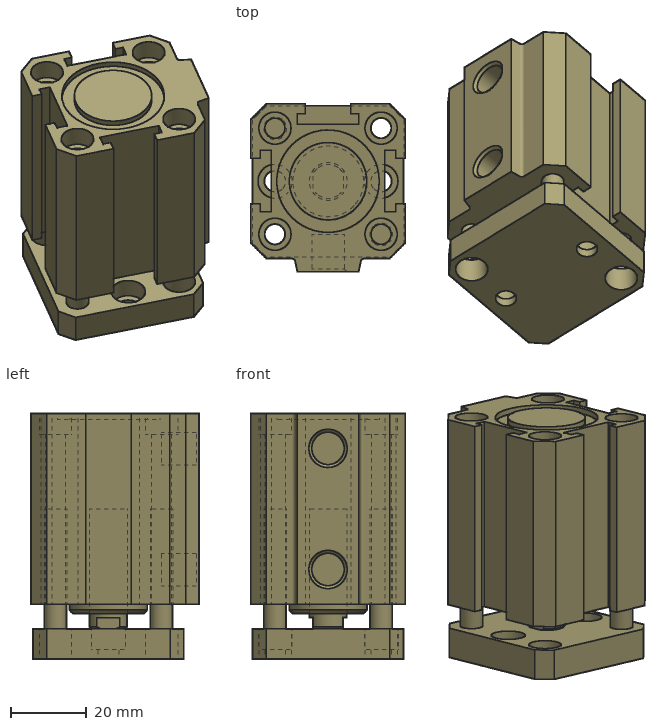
import cadquery as cq
import math

plate_thickness = 8.0
total_height = 65
gap = 6.5
housing_base = plate_thickness + gap
housing_height = total_height - housing_base

housing_width = 41.0
housing_corner = 4.2
ridge_height = 3.5
ridge_face_width = 16.25
ridge_slope = 12
ridge_root_radius = 0.85

slot_mouth_width = 12.0
slot_inner_width = 16.25
slot_lip = 2.6
slot_depth = 5.45

groove_outer_diameter = 27.1
groove_inner_diameter = 20.5
groove_depth = 1.5

collar_diameter = 20.7
collar_height = 2.5
collar_chamfer = 1.0

port_diameter = 8.6
port_mouth_diameter = 10.15
port_depth = 10.0
port_end_distance = 9.2

hole_offset = 14.05
mount_hole_diameter = 5.3
mount_head_diameter = 8.5
mount_head_depth = 5.5

rod_diameter = 10.0
rod_flat_width = 8.0
rod_flat_height = 3.0
rod_end_chamfer = 0.5
pin_diameter = 6.0
insertion = housing_height / 2

plate_width = 40.0
plate_corner = 3.65
access_hole_diameter = 8.5
screw_hole_diameter = 5.5
screw_head_diameter = 9.0
screw_head_depth = 5.3

mount_points = [(x, y) for x in (-hole_offset, hole_offset) for y in (-hole_offset, hole_offset)]
pin_points = [(-hole_offset, hole_offset), (hole_offset, -hole_offset)]
access_points = [(-hole_offset, -hole_offset), (hole_offset, hole_offset)]
screw_points = [(-hole_offset, 0), (hole_offset, 0)]


def cylinders(points, diameter, bottom, height):
    """Upright cylinders at the given XY points."""
    return cq.Workplane("XY", origin=(0, 0, bottom)).pushPoints(points).circle(diameter / 2).extrude(height)


def chamfered_block(width, corner, bottom, height):
    """Square block with its four upright edges cut off."""
    block = cq.Workplane("XY", origin=(0, 0, bottom)).rect(width, width).extrude(height)
    return block.edges("|Z").chamfer(corner)


def port_ridge():
    """Sloped ridge on the front face, with rounded concave roots."""
    front = -housing_width / 2
    face = front - ridge_height
    half_face = ridge_face_width / 2
    slope = math.radians(ridge_slope)
    half_root = half_face + ridge_height * math.tan(slope)
    tangent = ridge_root_radius * math.tan((math.pi / 2 - slope) / 2)
    fillet_x = half_root + tangent
    slope_x = half_root - tangent * math.sin(slope)
    slope_y = front - tangent * math.cos(slope)
    return (
        cq.Workplane("XY", origin=(0, 0, housing_base))
        .moveTo(-half_face, face)
        .lineTo(half_face, face)
        .lineTo(slope_x, slope_y)
        .radiusArc((fillet_x, front), ridge_root_radius)
        .lineTo(-fillet_x, front)
        .radiusArc((-slope_x, slope_y), ridge_root_radius)
        .close()
        .extrude(housing_height)
    )


def t_slot(angle):
    """T-slot cutter for the back face, turned about Z to the wanted face."""
    back = housing_width / 2
    plane = cq.Workplane("XY", origin=(0, 0, housing_base))
    mouth = plane.center(0, back - slot_depth / 2).rect(slot_mouth_width, slot_depth)
    mouth = mouth.extrude(housing_height)
    inner_depth = slot_depth - slot_lip
    inner = plane.center(0, back - slot_lip - inner_depth / 2).rect(slot_inner_width, inner_depth)
    inner = inner.extrude(housing_height)
    return mouth.union(inner).rotate((0, 0, 0), (0, 0, 1), angle)


def top_groove():
    return (
        cq.Workplane("XY", origin=(0, 0, total_height))
        .circle(groove_outer_diameter / 2)
        .circle(groove_inner_diameter / 2)
        .extrude(-groove_depth)
    )


def port(height):
    """Blind port cutter with a 45 degree countersunk mouth."""
    mouth_depth = (port_mouth_diameter - port_diameter) / 2
    return (
        cq.Workplane("XY")
        .lineTo(port_mouth_diameter / 2, 0)
        .lineTo(port_diameter / 2, mouth_depth)
        .lineTo(port_diameter / 2, port_depth)
        .lineTo(0, port_depth)
        .close()
        .revolve()
        .translate((0, -housing_width / 2 - ridge_height, height))
    )


def build_housing():
    body = chamfered_block(housing_width, housing_corner, housing_base, housing_height)
    body = body.union(port_ridge())
    for angle in (0, 90, -90):
        body = body.cut(t_slot(angle))
    body = body.cut(top_groove())
    collar = cylinders([(0, 0)], collar_diameter, housing_base - collar_height, collar_height)
    body = body.union(collar.faces("<Z").chamfer(collar_chamfer))
    for height in (housing_base + port_end_distance, total_height - port_end_distance):
        body = body.cut(port(height))
    body = body.cut(cylinders(mount_points, mount_hole_diameter, housing_base, housing_height))
    head_base = total_height - mount_head_depth
    body = body.cut(cylinders(mount_points, mount_head_diameter, head_base, mount_head_depth))
    body = body.cut(cylinders(pin_points, pin_diameter, housing_base, insertion))
    rod_bore_height = collar_height + insertion
    return body.cut(cylinders([(0, 0)], rod_diameter, housing_base - collar_height, rod_bore_height))


def piston_rod():
    """Rod with a chamfered lower end and two wrench flats facing -X and +X."""
    rod = cylinders([(0, 0)], rod_diameter, plate_thickness, gap + insertion)
    rod = rod.faces("<Z").chamfer(rod_end_chamfer)
    flat_plane = cq.Workplane("XY", origin=(0, 0, plate_thickness))
    flat_depth = (rod_diameter - rod_flat_width) / 2
    flat_center = (rod_flat_width + flat_depth) / 2
    outside_flats = (
        flat_plane.pushPoints([(-flat_center, 0), (flat_center, 0)])
        .rect(flat_depth, rod_diameter)
        .extrude(rod_flat_height)
    )
    return rod.cut(outside_flats)


def build_rod_and_plate():
    """Moving body: end plate with the piston rod and the two guide pins."""
    plate = chamfered_block(plate_width, plate_corner, 0, plate_thickness)
    plate = plate.cut(cylinders(access_points, access_hole_diameter, 0, plate_thickness))
    plate = plate.cut(cylinders(screw_points, screw_hole_diameter, 0, plate_thickness))
    head_base = plate_thickness - screw_head_depth
    plate = plate.cut(cylinders(screw_points, screw_head_diameter, head_base, screw_head_depth))
    pins = cylinders(pin_points, pin_diameter, plate_thickness, gap + insertion)
    return plate.union(piston_rod()).union(pins)


housing = build_housing()
rod_and_plate = build_rod_and_plate()

result = cq.Compound.makeCompound([housing.solids().val(), rod_and_plate.solids().val()])